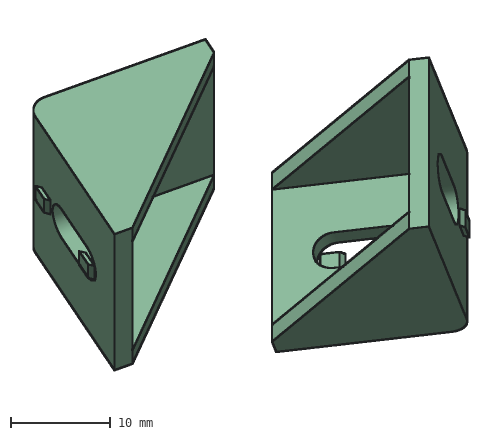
import cadquery as cq

tab_depth = 0.5
side = 20.5 - tab_depth
wall = 2.0
corner_radius = 2.0

slot_start = 5.95
slot_end = 15.78
slot_width = 4.2
slot_length = slot_end - slot_start
slot_center = (slot_start + slot_end) / 2

tab_size = 2.0
tab_slant = tab_depth
tab_start = 3.0
tab_pitch = side / 2

mid_height = side / 2


def triangular_block():
    """Solid corner block with blunt tips at both ends of its sloping face."""
    return (
        cq.Workplane("XY")
        .polyline([(0, 0), (side, 0), (side, wall), (wall, side), (0, side)])
        .close()
        .extrude(side)
        .edges("|Z and (<X and <Y)")
        .fillet(corner_radius)
    )


def cavity():
    """Space between the walls and end plates, open through the sloping face."""
    return (
        cq.Workplane("XY")
        .box(side, side, side - 2 * wall, centered=False)
        .translate((wall, wall, wall))
    )


def front_slot():
    """Rounded slot cutter through the wall at Y = 0."""
    return (
        cq.Workplane("XZ")
        .center(slot_center, mid_height)
        .slot2D(slot_length, slot_width)
        .extrude(-wall)
    )


def front_tab(start):
    """Slanted tab standing out of the face at Y = 0, its tip beginning at X = start."""
    return (
        cq.Workplane("XY")
        .workplane(offset=mid_height - tab_size / 2)
        .polyline([
            (start, -tab_depth),
            (start + tab_size, -tab_depth),
            (start + tab_size + tab_slant, 0),
            (start + tab_slant, 0),
        ])
        .close()
        .extrude(tab_size)
    )


def onto_side_wall(shape):
    """Mirror a front-wall shape across the plane X = Y onto the wall at X = 0."""
    return shape.mirror("XZ").rotate((0, 0, 0), (0, 0, 1), 90)


def make_bracket():
    """Bracket with a slot in each wall and a tab near the corner on each wall."""
    bracket = triangular_block().cut(cavity())
    for cutter in (front_slot(), onto_side_wall(front_slot())):
        bracket = bracket.cut(cutter)
    for tab in (front_tab(tab_start), onto_side_wall(front_tab(tab_start))):
        bracket = bracket.union(tab)
    return bracket


def make_loose_tab():
    """Separate tab lying within the outline of the front slot, just outside the wall."""
    return front_tab(tab_start + tab_pitch)


bracket = make_bracket()
loose_tab = make_loose_tab()

result = cq.Compound.makeCompound([bracket.val(), loose_tab.val()])